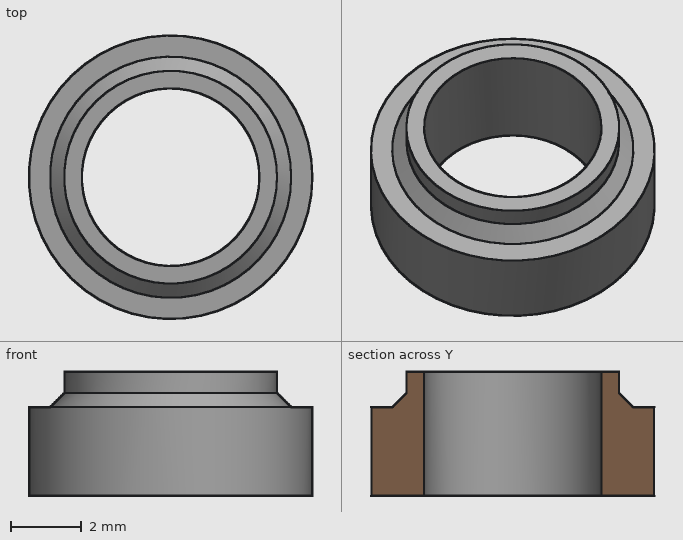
import cadquery as cq

body_diameter = 8.0
collar_diameter = 6.0
bore_diameter = 5.0
total_height = 3.5
body_height = 2.5
cone_height = 0.4

body_radius = body_diameter / 2
collar_radius = collar_diameter / 2
bore_radius = bore_diameter / 2
cone_base_radius = collar_radius + cone_height
cone_top = body_height + cone_height

section = (
    cq.Workplane("XZ")
    .moveTo(bore_radius, 0)
    .lineTo(body_radius, 0)
    .lineTo(body_radius, body_height)
    .lineTo(cone_base_radius, body_height)
    .lineTo(collar_radius, cone_top)
    .lineTo(collar_radius, total_height)
    .lineTo(bore_radius, total_height)
    .close()
)

result = section.revolve(360, (0, 0, 0), (0, 1, 0))